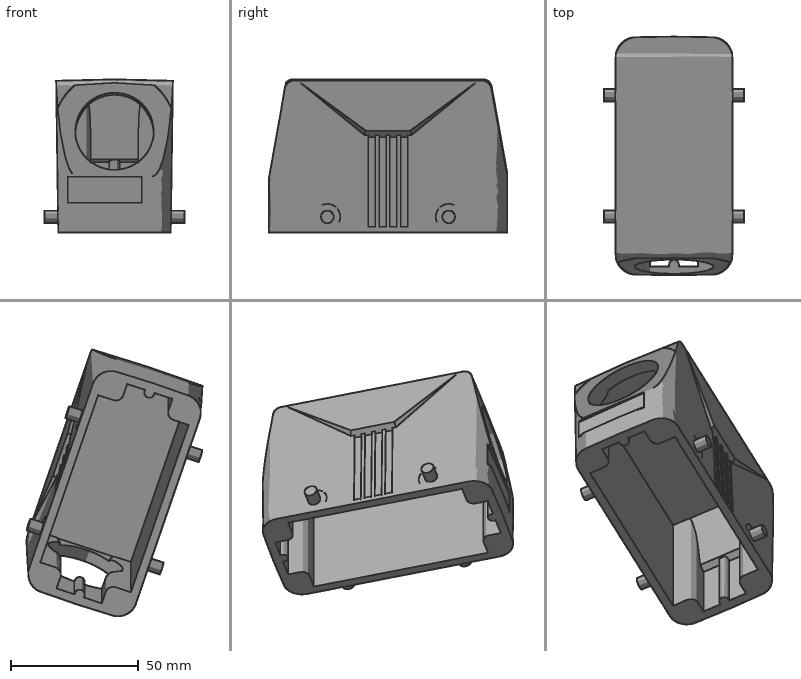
import cadquery as cq
import math

LENGTH = 93.5
HEIGHT = 60.0
BASE_WIDTH = 44.1
TOP_WIDTH = 45.8
END_PEAK = 0.4
ROOF_PEAK = 0.6
CORNER_RADIUS = 7.5
ROOF_RADIUS = 3.6
SLOPE_START = 23.1
SLOPE_TOP_INSET = 6.6
OVERSIZE = 74.8
CLEARANCE = 4.7

HALF_LENGTH = LENGTH / 2
SIDE_DRAFT = (TOP_WIDTH - BASE_WIDTH) / 2 / HEIGHT
SLOPE = SLOPE_TOP_INSET / (HEIGHT - SLOPE_START)
SLOPE_ANGLE = math.atan(SLOPE)

ENTRY_DIAMETER = 30.7
ENTRY_HEIGHT = 39.7
ENTRY_DEPTH = 15.0
FLAT_RADIUS = 24.0
FLAT_DEPTH = 0.42

LABEL_BOTTOM = 11.6
LABEL_TOP = 21.9
LABEL_RIGHT = 10.7
LABEL_LEFT = -18.3
LABEL_RIGHT_DEPTH = 0.6
LABEL_LEFT_DEPTH = 1.2

PIN_DIAMETER = 5.0
PIN_SPAN = 55.0
PIN_OFFSET = 23.75
PIN_HEIGHT = 6.2
PIN_PAD_RADIUS = 5.05

GROOVE_COUNT = 4
GROOVE_WIDTH = 2.8
GROOVE_PITCH = 4.2
GROOVE_BOTTOM = 2.2
GROOVE_DEPTH = 0.6

CAVITY_WIDTH = 37.4
CAVITY_TOP = 56.1
BOSS_INSET = 11.4
BOSS_RADIUS = 3.1
NICHE_WIDTH = 18.7
NICHE_INSET = 3.55
NICHE_STEP_BOTTOM = 27.5
NICHE_STEP_TOP = 28.8
UPPER_WALL = 5.2
PEG_RADIUS = 2.0
PEG_TIP_INSET = 6.1
PEG_TOP = 28.5

FACE_TOP = (34.0, 58.4, 0.0)
FACE_BOTTOM = (8.8, 39.9, 0.3)
FRAME_CORNER = (35.9, 57.2, 0.0)
FRAME_UPPER = (37.2, 50.1, 0.0)
FRAME_MIDDLE = (38.6, 40.95, 0.0)
FRAME_LOWER = (32.0, 25.9, 0.0)
DISH_UPPER = (27.0, 46.4, 0.75)
DISH_MIDDLE = (23.8, 40.3, 1.0)
DISH_LOWER = (18.8, 18.8, 0.5)
STRIP_TOP = (9.2, 38.15, 1.6)
STRIP_BOTTOM = (9.2, 0.0, 0.0)
STRIP_MIDDLE = tuple((top + bottom) / 2 for top, bottom in zip(STRIP_TOP, STRIP_BOTTOM))
PIN_PAD_OUTER = (26.0, 10.8, 0.0)
PIN_PAD_INNER = (19.7, 9.9, 0.0)
PIN_PAD_FOOT = (19.1, 4.2, 0.0)
DISH_FOOT = (13.7, 2.15, 0.0)

LEDGE_POSITION = 0.43
LEDGE_MIDDLE = tuple(
    top + LEDGE_POSITION * (bottom - top) for top, bottom in zip(FACE_TOP, STRIP_TOP))

DISH_PATCHES = [
    (FACE_TOP, FACE_BOTTOM, STRIP_TOP),
    (FACE_TOP, FRAME_CORNER, FRAME_UPPER, DISH_UPPER),
    (FACE_TOP, DISH_UPPER, LEDGE_MIDDLE),
    (FRAME_UPPER, FRAME_MIDDLE, DISH_MIDDLE, DISH_UPPER),
    (DISH_UPPER, DISH_MIDDLE, STRIP_TOP, LEDGE_MIDDLE),
    (FRAME_LOWER, DISH_LOWER, DISH_MIDDLE, FRAME_MIDDLE),
    (DISH_MIDDLE, DISH_LOWER, STRIP_MIDDLE, STRIP_TOP),
    (DISH_LOWER, FRAME_LOWER, PIN_PAD_OUTER, PIN_PAD_INNER),
    (PIN_PAD_INNER, PIN_PAD_FOOT, DISH_FOOT, DISH_LOWER),
    (DISH_LOWER, DISH_FOOT, STRIP_BOTTOM, STRIP_MIDDLE),
]

BOWED_EDGES = [
    (FRAME_LOWER, (24.8, 23.8, 0.3), DISH_LOWER),
    (DISH_LOWER, (15.5, 12.8, 0.4), DISH_FOOT),
]


def wall_x(height):
    """Half-width of the drafted side walls at a height."""
    return BASE_WIDTH / 2 + SIDE_DRAFT * height


def peaked_plan(height, half_width, half_length, peak):
    """Closed outline at a height, with each Y end peaked in the middle."""
    points = [
        (half_width, half_length - peak), (0, half_length), (-half_width, half_length - peak),
        (-half_width, peak - half_length), (0, -half_length), (half_width, peak - half_length),
    ]
    return cq.Wire.makePolygon([cq.Vector(x, y, height) for x, y in points], close=True)


def drafted_block():
    """Upright block with drafted sides, peaked ends and round corners."""
    bottom = peaked_plan(0, wall_x(0), HALF_LENGTH, END_PEAK)
    top = peaked_plan(HEIGHT, wall_x(HEIGHT), HALF_LENGTH, END_PEAK)
    block = cq.Workplane(obj=cq.Solid.makeLoft([bottom, top], True))
    peak_edges = cq.selectors.BoxSelector(
        (-CORNER_RADIUS, -LENGTH, 0), (CORNER_RADIUS, LENGTH, HEIGHT))
    corner_edges = cq.selectors.InverseSelector(peak_edges)
    return block.edges("not(#Z)").edges(corner_edges).fillet(CORNER_RADIUS)


def roof_envelope():
    """Wide block with leaning peaked ends and a gabled roof; the roof ends are rounded."""
    overhang = OVERSIZE / wall_x(HEIGHT)
    foot_length = HALF_LENGTH + SLOPE * SLOPE_START
    low = peaked_plan(0, OVERSIZE, foot_length, END_PEAK * overhang)
    high = peaked_plan(HEIGHT, OVERSIZE, HALF_LENGTH - SLOPE_TOP_INSET, END_PEAK * overhang)
    leaning = cq.Workplane(obj=cq.Solid.makeLoft([low, high], True))
    eaves = HEIGHT - ROOF_PEAK * overhang
    gable = (
        cq.Workplane("XZ")
        .polyline([(-OVERSIZE, 0), (OVERSIZE, 0), (OVERSIZE, eaves), (0, HEIGHT), (-OVERSIZE, eaves)])
        .close()
        .extrude(OVERSIZE, both=True)
    )
    roof_ends = cq.selectors.BoxSelector(
        (-OVERSIZE, -OVERSIZE, eaves), (OVERSIZE, OVERSIZE, HEIGHT))
    return leaning.intersect(gable).edges(roof_ends).edges("not(|Y)").fillet(ROOF_RADIUS)


def entry_cylinder(radius, depth):
    """Cylinder about the cable entry axis, from outside the end to a depth below its face."""
    face_y = SLOPE * (ENTRY_HEIGHT - SLOPE_START) - HALF_LENGTH
    outward = cq.Vector(0, -math.cos(SLOPE_ANGLE), math.sin(SLOPE_ANGLE))
    floor = cq.Vector(0, face_y, ENTRY_HEIGHT) - outward * depth
    return cq.Workplane(obj=cq.Solid.makeCylinder(radius, OVERSIZE, floor, outward))


def outer_body():
    """Solid outside shape of the hood, with the flat facing around the cable entry."""
    body = drafted_block().intersect(roof_envelope())
    return body.cut(entry_cylinder(FLAT_RADIUS, FLAT_DEPTH))


def inner_point(point):
    """Place on the -X side of a grip point given as distance, height and depth."""
    y, z, depth = point
    return cq.Vector(depth - wall_x(z), y, z)


def outer_point(point):
    """Place of a grip point moved out to an upright plane clear of the side wall."""
    return cq.Vector(-wall_x(HEIGHT) - CLEARANCE, point[0], point[1])


def patch_edge(start, end, place):
    """Edge between two grip points, bowed where the table of arcs says so."""
    for first, middle, last in BOWED_EDGES:
        if {first, last} == {start, end}:
            return cq.Edge.makeThreePointArc(place(start), place(middle), place(end))
    return cq.Edge.makeLine(place(start), place(end))


def patch_face(points, place):
    """Flat face on three grip points, or the surface ruled between opposite edges of four."""
    if len(points) == 3:
        return cq.Face.makeFromWires(cq.Wire.makePolygon([place(point) for point in points], close=True))
    first, second, third, fourth = points
    return cq.Face.makeRuledSurface(
        patch_edge(first, second, place), patch_edge(fourth, third, place))


def patch_cutter(points):
    """Solid between a patch sunk in the -X side wall and an upright plane outside the hood."""
    faces = [patch_face(points, inner_point), patch_face(points, outer_point)]
    for start, end in zip(points, points[1:] + points[:1]):
        near = patch_edge(start, end, inner_point)
        far = patch_edge(start, end, outer_point)
        faces.append(cq.Face.makeRuledSurface(near, far))
    solid = cq.Solid.makeSolid(cq.Shell.makeShell(faces))
    return cq.Workplane(obj=solid)


def opposite(point):
    """Mirror image of a grip point in the other half of the grip."""
    return (-point[0], point[1], point[2])


def grip_cutter():
    """Dished grip of the -X side: raised face at the top, dishes either side of a grooved strip."""
    half = patch_cutter(DISH_PATCHES[0])
    for patch in DISH_PATCHES[1:]:
        half = half.union(patch_cutter(patch))
    pin_pad = (
        cq.Workplane("YZ").center(PIN_OFFSET, PIN_HEIGHT).circle(PIN_PAD_RADIUS).extrude(-OVERSIZE)
    )
    half = half.cut(pin_pad)
    grip = half.union(half.mirror("XZ"))
    for upper, lower in [(FACE_TOP, FACE_BOTTOM), (FACE_BOTTOM, STRIP_TOP), (STRIP_TOP, STRIP_BOTTOM)]:
        grip = grip.union(patch_cutter((upper, lower, opposite(lower), opposite(upper))))
    return grip.union(grooves_cutter())


def grooves_cutter():
    """Upright grooves sunk below the strip, ending on the slanting ledge above it."""
    _, ledge_top, face_depth = FACE_BOTTOM
    _, strip_top, strip_depth = STRIP_TOP
    ledge_slope = (strip_depth - face_depth) / (ledge_top - strip_top)
    groove_top = strip_top - GROOVE_DEPTH / ledge_slope
    strip_slope = strip_depth / strip_top
    cutters = None
    for i in range(GROOVE_COUNT):
        middle = (i - (GROOVE_COUNT - 1) / 2) * GROOVE_PITCH
        corners = [
            (strip_top, strip_depth),
            (groove_top, strip_slope * groove_top + GROOVE_DEPTH),
            (GROOVE_BOTTOM, strip_slope * GROOVE_BOTTOM + GROOVE_DEPTH),
            (GROOVE_BOTTOM, 0),
        ]
        outline = [(depth - wall_x(z), z) for z, depth in corners]
        outline.append((-wall_x(HEIGHT), GROOVE_BOTTOM))
        outline.append((-wall_x(HEIGHT), strip_top))
        groove = (
            cq.Workplane("XZ", origin=(0, middle, 0))
            .polyline(outline)
            .close()
            .extrude(GROOVE_WIDTH / 2, both=True)
        )
        cutters = groove if cutters is None else cutters.union(groove)
    return cutters


def niche_plan(end, boss_y):
    """Upright cutter for one niche: straight sides that flare round the two corner bosses."""
    half_width = NICHE_WIDTH / 2
    flare_width = half_width + BOSS_RADIUS
    arc_offset = BOSS_RADIUS * (1 - math.sqrt(0.5))
    flare_y = boss_y + BOSS_RADIUS
    arc_x = half_width + arc_offset
    arc_y = boss_y + arc_offset
    return (
        cq.Workplane("XY")
        .moveTo(flare_width, 0)
        .lineTo(flare_width, end * boss_y)
        .threePointArc((arc_x, end * arc_y), (half_width, end * flare_y))
        .lineTo(half_width, end * HALF_LENGTH)
        .lineTo(-half_width, end * HALF_LENGTH)
        .lineTo(-half_width, end * flare_y)
        .threePointArc((-arc_x, end * arc_y), (-flare_width, end * boss_y))
        .lineTo(-flare_width, 0)
        .close()
        .extrude(CAVITY_TOP)
    )


def end_wall_y(height):
    """Distance from the middle to the inner face of the leaning end wall at a height."""
    wall_along_y = UPPER_WALL / math.cos(SLOPE_ANGLE)
    return HALF_LENGTH - SLOPE * (height - SLOPE_START) - wall_along_y


def cavity():
    """Hollow open at the bottom, with a niche between the corner bosses at each end."""
    boss_y = HALF_LENGTH - BOSS_INSET
    hollow = cq.Workplane("XY").rect(CAVITY_WIDTH, 2 * boss_y).extrude(CAVITY_TOP)
    lower_y = HALF_LENGTH - NICHE_INSET
    half_profile = [
        (lower_y, 0),
        (lower_y, NICHE_STEP_BOTTOM),
        (end_wall_y(NICHE_STEP_TOP), NICHE_STEP_TOP),
        (end_wall_y(CAVITY_TOP), CAVITY_TOP),
    ]
    profile = half_profile + [(-y, z) for y, z in reversed(half_profile)]
    lengthwise = cq.Workplane("YZ").polyline(profile).close().extrude(CAVITY_WIDTH / 2, both=True)
    for end in (-1, 1):
        hollow = hollow.union(lengthwise.intersect(niche_plan(end, boss_y)))
    return hollow


def peg(end):
    """Upright round-nosed peg on the lower end wall; end is 1 or -1."""
    nose_y = end * (HALF_LENGTH - PEG_TIP_INSET + PEG_RADIUS)
    wall_y = end * (HALF_LENGTH - NICHE_INSET / 2)
    nose = cq.Workplane("XY").center(0, nose_y).circle(PEG_RADIUS).extrude(PEG_TOP)
    web = (
        cq.Workplane("XY")
        .center(0, (nose_y + wall_y) / 2)
        .rect(2 * PEG_RADIUS, abs(wall_y - nose_y))
        .extrude(PEG_TOP)
    )
    return nose.union(web)


def label_recess():
    """Label recess in the -Y end, with a floor that slants in plan."""
    return (
        cq.Workplane("XY", origin=(0, -HALF_LENGTH, LABEL_BOTTOM))
        .polyline([(LABEL_LEFT, LABEL_LEFT_DEPTH), (LABEL_RIGHT, LABEL_RIGHT_DEPTH),
                   (LABEL_RIGHT, -CLEARANCE), (LABEL_LEFT, -CLEARANCE)])
        .close()
        .extrude(LABEL_TOP - LABEL_BOTTOM)
    )


def pin(side, end):
    """Locking pin standing out from one side wall; side and end are 1 or -1."""
    root = CAVITY_WIDTH / 2
    return (
        cq.Workplane("YZ", origin=(side * root, end * PIN_OFFSET, PIN_HEIGHT))
        .circle(PIN_DIAMETER / 2)
        .extrude(side * (PIN_SPAN / 2 - root))
    )


result = outer_body()
grip = grip_cutter()
result = result.cut(grip).cut(grip.mirror("YZ"))
result = result.cut(label_recess()).cut(cavity())
for end in (-1, 1):
    result = result.union(peg(end))
result = result.cut(entry_cylinder(ENTRY_DIAMETER / 2, ENTRY_DEPTH))
for end in (-1, 1):
    for side in (-1, 1):
        result = result.union(pin(side, end))